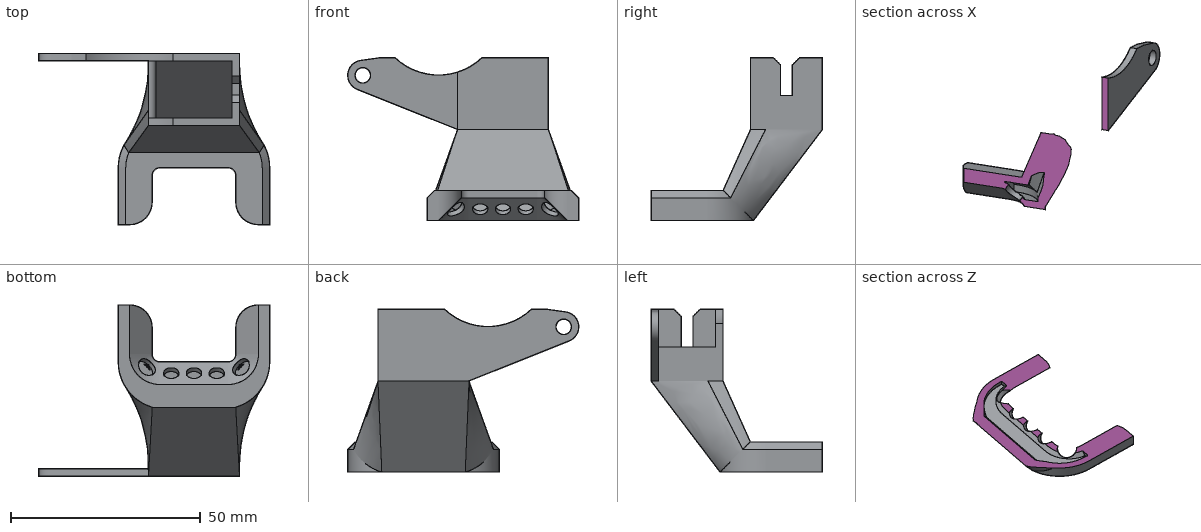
import cadquery as cq
import math

WALL = 2.0

PAD_HALF_WIDTH = 20.0
PAD_DEPTH = 27.0
PAD_HEIGHT = 8.0
PAD_STRAIGHT = 15.0
PAD_CORNER_RADIUS = 12.5
PAD_CHAMFER = 2.0

NOTCH_HALF_WIDTH = 11.0
NOTCH_DEPTH = 15.0
NOTCH_RADIUS = 2.0
FLARE = 6.0
TIP_RADIUS = 6.0

HOLE_DIAMETER = 4.0
CORNER_HOLE_DIAMETER = 5.0
HOLE_PITCH = 6.0
HOLE_HEIGHT = FLARE / 2
HOLE_REACH = WALL

BOX_WIDTH = 24.0
BOX_LENGTH = 19.0
BOX_BOTTOM = 24.0
TOP = 43.0
BACK = 45.2
BOX_HALF_WIDTH = BOX_WIDTH / 2
BOX_FRONT = BACK - BOX_LENGTH

DUCT_SIDE_SPLIT = 4.0

OPENING_DEPTH = 10.0
LIP_RADIUS = 1.5

SLOT_WIDTH = 3.0
SLOT_DEPTH = 10.0
SLOT_TO_BACK = 9.5
SLOT_Y = BACK - SLOT_TO_BACK
SLOT_CHAMFER = 2.0

EAR_RADIUS = 4.0
EAR_HOLE_DIAMETER = 4.0
EAR_X = -36.96
EAR_Z = 38.3
ARM_TOP_X = -32.2
RELIEF_X = -17.0
RELIEF_HALF_CHORD = 11.5
RELIEF_SAG = 4.6

CLEARANCE = 1.0

REAR_SLOPE = cq.Vector(0, 1, 1)


def box_between(x_range, y_range, z_range):
    """Axis-aligned block between pairs of coordinates."""
    size = [high - low for low, high in (x_range, y_range, z_range)]
    return (
        cq.Workplane("XY")
        .box(*size, centered=False)
        .translate((x_range[0], y_range[0], z_range[0]))
    )


def pad_blank(inset, front, bottom, top):
    """Pad with rounded rear corners, chamfered top edge and its rear cut back at 45 degrees."""
    half_width = PAD_HALF_WIDTH - inset
    radius = PAD_CORNER_RADIUS - inset
    depth = PAD_STRAIGHT + radius
    blank = (
        box_between((-half_width, half_width), (front, depth), (bottom, top))
        .edges("|Z and >Y")
        .fillet(radius)
        .faces(">Z")
        .edges("not <Y")
        .chamfer(PAD_CHAMFER)
    )
    rear_cut = (
        cq.Workplane("YZ")
        .polyline([(PAD_DEPTH, 0), (2 * PAD_DEPTH, 0), (2 * PAD_DEPTH, PAD_DEPTH), (0, PAD_DEPTH)])
        .close()
        .extrude(PAD_HALF_WIDTH + CLEARANCE, both=True)
    )
    return blank.cut(rear_cut)


def duct_loft(pad, inset):
    """Ruled transition from the sloped rear face of a pad to the bottom rectangle of the box."""
    rear_face = cq.selectors.DirectionMinMaxSelector(REAR_SLOPE)
    pad_wire = pad.faces(rear_face).val().outerWire()
    half_width = BOX_HALF_WIDTH - inset
    front = BOX_FRONT + inset
    back = BACK - inset
    split = front + DUCT_SIDE_SPLIT
    corners = [
        (-half_width, front),
        (half_width, front),
        (half_width, split),
        (half_width, back),
        (-half_width, back),
        (-half_width, split),
    ]
    box_wire = cq.Wire.makePolygon([cq.Vector(x, y, BOX_BOTTOM) for x, y in corners], close=True)
    return cq.Workplane(cq.Solid.makeLoft([pad_wire, box_wire], ruled=True))


def notch_outline(half_width, depth, radius, height):
    """Rounded rectangle reaching past the open end of the pad, on a horizontal plane."""
    length = depth + PAD_DEPTH
    return (
        cq.Sketch()
        .rect(2 * half_width, 2 * length)
        .vertices()
        .fillet(radius)
        .moved(cq.Location(cq.Vector(0, depth - length, height)))
    )


def flare_cutter(growth):
    """45 degree flare below the notch, widened all round by the given growth."""
    upper = notch_outline(NOTCH_HALF_WIDTH + growth, NOTCH_DEPTH + growth, NOTCH_RADIUS + growth, FLARE)
    spread = growth + FLARE
    lower = notch_outline(NOTCH_HALF_WIDTH + spread, NOTCH_DEPTH + spread, NOTCH_RADIUS + spread, 0)
    return cq.Workplane("XY").placeSketch(lower, upper).loft(ruled=True)


def notch_cutter():
    """Straight notch with its flare."""
    outline = notch_outline(NOTCH_HALF_WIDTH, NOTCH_DEPTH, NOTCH_RADIUS, 0)
    return cq.Workplane("XY").placeSketch(outline).extrude(PAD_HEIGHT).union(flare_cutter(0))


def tip_cutter(side):
    """Rounds the inner corner of one leg tip."""
    inner_x = NOTCH_HALF_WIDTH - CLEARANCE
    tip_x = NOTCH_HALF_WIDTH + TIP_RADIUS
    block = box_between((inner_x, tip_x), (-CLEARANCE, TIP_RADIUS), (0, PAD_HEIGHT))
    post = cq.Workplane("XY").center(tip_x, TIP_RADIUS).circle(TIP_RADIUS).extrude(PAD_HEIGHT)
    cutter = block.cut(post)
    return cutter if side > 0 else cutter.mirror("YZ")


def air_hole(diameter, x, y, direction_x, direction_y):
    """Hole cutter centred on the flare, rising at 45 degrees in the given horizontal direction."""
    axis = cq.Vector(direction_x, direction_y, 1).normalized()
    start = cq.Vector(x, y, HOLE_HEIGHT) - axis * HOLE_REACH
    return cq.Workplane(cq.Solid.makeCylinder(diameter / 2, 2 * HOLE_REACH, start, axis))


def drill_air_holes(body):
    """Three holes along the rear of the flare and one in each rounded corner."""
    flare_spread = FLARE - HOLE_HEIGHT
    for index in (-1, 0, 1):
        body = body.cut(air_hole(HOLE_DIAMETER, index * HOLE_PITCH, NOTCH_DEPTH + flare_spread, 0, 1))
    diagonal = math.sqrt(0.5)
    corner_reach = (NOTCH_RADIUS + flare_spread) * diagonal
    corner_x = NOTCH_HALF_WIDTH - NOTCH_RADIUS + corner_reach
    corner_y = NOTCH_DEPTH - NOTCH_RADIUS + corner_reach
    for side in (-1, 1):
        body = body.cut(air_hole(CORNER_HOLE_DIAMETER, side * corner_x, corner_y, side * diagonal, diagonal))
    return body


def mounting_arm():
    """Back wall outline: an ear round its hole, with straight edges running to the box."""

    def tangent_point(x, z, side):
        distance = math.hypot(x - EAR_X, z - EAR_Z)
        angle = math.atan2(z - EAR_Z, x - EAR_X) + side * math.acos(EAR_RADIUS / distance)
        return (EAR_X + EAR_RADIUS * math.cos(angle), EAR_Z + EAR_RADIUS * math.sin(angle))

    upper = tangent_point(ARM_TOP_X, TOP, 1)
    lower = tangent_point(-BOX_HALF_WIDTH, BOX_BOTTOM, -1)
    return (
        cq.Workplane("XZ", origin=(0, BACK, 0))
        .moveTo(-BOX_HALF_WIDTH, BOX_BOTTOM)
        .lineTo(*lower)
        .threePointArc((EAR_X - EAR_RADIUS, EAR_Z), upper)
        .lineTo(ARM_TOP_X, TOP)
        .lineTo(-BOX_HALF_WIDTH, TOP)
        .close()
        .moveTo(EAR_X, EAR_Z)
        .circle(EAR_HOLE_DIAMETER / 2)
        .extrude(WALL)
    )


def relief_cutter():
    """Round relief across the top of the arm and the front wall."""
    radius = (RELIEF_HALF_CHORD**2 + RELIEF_SAG**2) / (2 * RELIEF_SAG)
    return (
        cq.Workplane("XZ", origin=(0, BACK, 0))
        .center(RELIEF_X, TOP - RELIEF_SAG + radius)
        .circle(radius)
        .extrude(BOX_LENGTH)
    )


def slot_cutter():
    """Slot with a chamfered mouth through the right wall."""
    half = SLOT_WIDTH / 2
    mouth = half + SLOT_CHAMFER
    floor = TOP - SLOT_DEPTH
    shoulder = TOP - SLOT_CHAMFER
    outline = [
        (SLOT_Y - half, floor),
        (SLOT_Y + half, floor),
        (SLOT_Y + half, shoulder),
        (SLOT_Y + mouth, TOP),
        (SLOT_Y - mouth, TOP),
        (SLOT_Y - half, shoulder),
    ]
    return cq.Workplane("YZ").polyline(outline).close().extrude(BOX_HALF_WIDTH)


def inlet_box():
    """Open box with a low left wall, a slotted right wall and the mounting arm."""
    inner_x = BOX_HALF_WIDTH - WALL
    inner_y = (BOX_FRONT + WALL, BACK - WALL)
    box = box_between((-BOX_HALF_WIDTH, BOX_HALF_WIDTH), (BOX_FRONT, BACK), (BOX_BOTTOM, TOP))
    box = box.cut(box_between((-inner_x, inner_x), inner_y, (BOX_BOTTOM, TOP)))
    box = box.cut(box_between((-BOX_HALF_WIDTH, 0), inner_y, (TOP - OPENING_DEPTH, TOP)))
    lip_height = TOP - OPENING_DEPTH
    lip_edge = cq.selectors.NearestToPointSelector((-inner_x, sum(inner_y) / 2, lip_height))
    box = box.edges(lip_edge).fillet(LIP_RADIUS)
    return box.cut(slot_cutter()).union(mounting_arm()).cut(relief_cutter())


def hollow_duct():
    """Notched pad and duct in one, with the air passage and air holes cut out."""
    pad = pad_blank(0, 0, 0, PAD_HEIGHT)
    plenum = pad_blank(WALL, NOTCH_DEPTH - CLEARANCE, WALL, PAD_HEIGHT - WALL)
    outer_duct = duct_loft(pad, 0)
    inner_duct = duct_loft(plenum, WALL)
    body = pad.cut(notch_cutter())
    for side in (-1, 1):
        body = body.cut(tip_cutter(side))
    body = body.union(outer_duct).cut(plenum.cut(flare_cutter(WALL))).cut(inner_duct)
    return drill_air_holes(body)


result = hollow_duct().union(inlet_box())